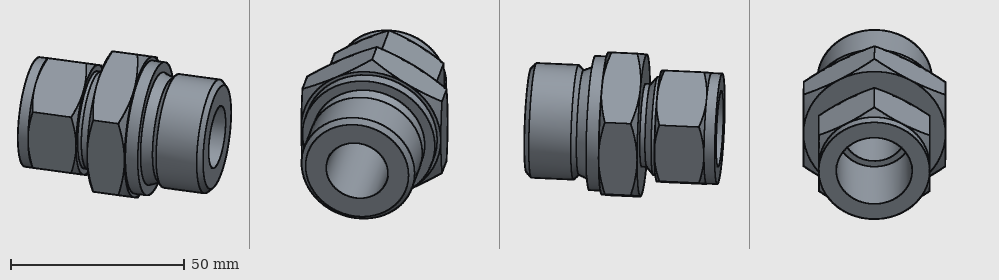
import cadquery as cq
import math


length = 55.3
nut_start = 3.1
nut_end = 17.5
flange_end = 18.6
neck_start = 20.55
body_start = 22.05
body_end = 33.25
collar_end = 36.95
groove_x = 40.15

nut_flats = 32.0
body_flats = 41.0
flange_diameter = 28.5
neck_diameter = 24.0
collar_diameter = 38.9
taper_diameter = 32.95
thread_diameter = 33.25
thread_chamfer = 1.5
hex_sides = 6
hex_chamfer_angle = 30.0

bore_diameter = 18.15
socket_diameter = 21.9
socket_depth = body_start

nut_radius = nut_flats / 2
flange_radius = flange_diameter / 2
neck_radius = neck_diameter / 2
collar_radius = collar_diameter / 2
taper_radius = taper_diameter / 2
thread_radius = thread_diameter / 2
groove_radius = thread_radius - thread_chamfer
bore_radius = bore_diameter / 2
socket_radius = socket_diameter / 2


def revolve_profile(points):
    """Turn an (x, radius) outline around the X axis."""
    return cq.Workplane("XY").polyline(points).close().revolve(360, (0, 0, 0), (1, 0, 0))


def chamfered_hex(start, end, flats):
    """Hexagon along X, corners up and down, with conical chamfers at both ends."""
    face_radius = flats / 2
    corner_radius = face_radius / math.cos(math.pi / hex_sides)
    chamfer_length = (corner_radius - face_radius) * math.tan(math.radians(hex_chamfer_angle))
    prism = (
        cq.Workplane("YZ", origin=(start, 0, 0))
        .transformed(rotate=(0, 0, 90))
        .polygon(hex_sides, 2 * corner_radius)
        .extrude(end - start)
    )
    envelope = revolve_profile([
        (start, 0),
        (start, face_radius),
        (start + chamfer_length, corner_radius),
        (end - chamfer_length, corner_radius),
        (end, face_radius),
        (end, 0),
    ])
    return prism.intersect(envelope)


core = revolve_profile([
    (0, 0),
    (0, nut_radius),
    (nut_end, nut_radius),
    (nut_end, flange_radius),
    (flange_end, flange_radius),
    (neck_start, neck_radius),
    (body_start, neck_radius),
    (body_start, collar_radius),
    (collar_end, collar_radius),
    (collar_end, taper_radius),
    (groove_x, groove_radius),
    (groove_x + thread_chamfer, thread_radius),
    (length - thread_chamfer, thread_radius),
    (length, groove_radius),
    (length, 0),
])

nut = chamfered_hex(nut_start, nut_end, nut_flats)
body = chamfered_hex(body_start, body_end, body_flats)

stepped_bore = revolve_profile([
    (0, 0),
    (0, socket_radius),
    (socket_depth, socket_radius),
    (socket_depth, bore_radius),
    (length, bore_radius),
    (length, 0),
])

result = core.union(nut).union(body).cut(stepped_bore)